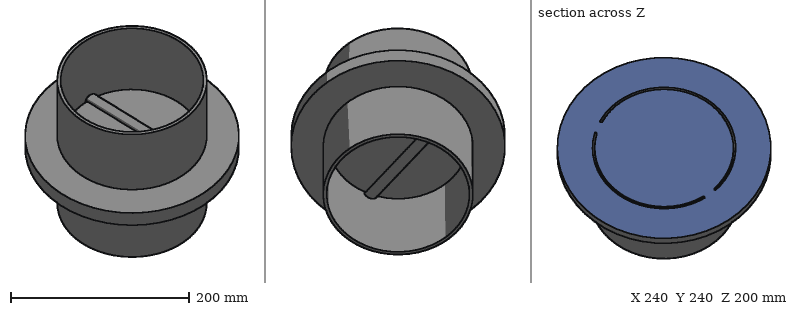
import cadquery as cq

flange_diameter = 240.0
flange_thickness = 20.0
tube_outer_diameter = 168.0
tube_bore_diameter = 160.0
tube_length = 200.0
disc_diameter = 156.0
disc_thickness = 5.0
shaft_diameter = 15.0
shaft_offset = 20.0

wall_middle_diameter = (tube_outer_diameter + tube_bore_diameter) / 2


def centred_cylinder(diameter, length):
    """Cylinder along Z, centred on the origin."""
    return cq.Workplane("XY", origin=(0, 0, -length / 2)).circle(diameter / 2).extrude(length)


def make_flanged_tube():
    """Open tube with a plain flange around its middle."""
    tube = centred_cylinder(tube_outer_diameter, tube_length)
    flange = centred_cylinder(flange_diameter, flange_thickness)
    bore = centred_cylinder(tube_bore_diameter, tube_length)
    return tube.union(flange).cut(bore)


def make_shaft():
    """Off-centre cross shaft, with ends that follow the tube wall."""
    rod = (
        cq.Workplane("YZ", origin=(-tube_outer_diameter / 2, shaft_offset, 0))
        .circle(shaft_diameter / 2)
        .extrude(tube_outer_diameter)
    )
    return rod.intersect(centred_cylinder(wall_middle_diameter, tube_length))


def make_disc():
    """Closed butterfly disc, with a narrow gap to the bore."""
    return centred_cylinder(disc_diameter, disc_thickness)


result = make_flanged_tube().union(make_shaft()).union(make_disc())